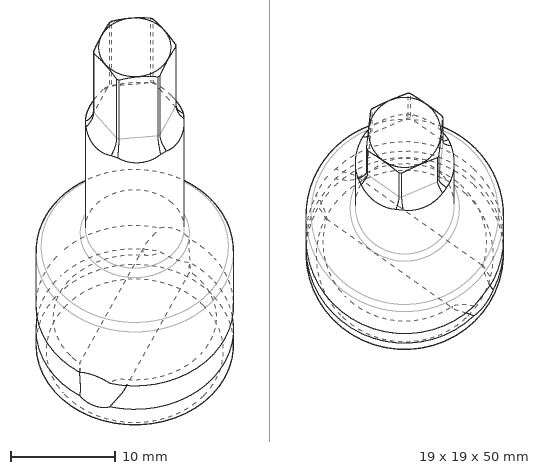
import cadquery as cq
import math

total_height = 50.0
body_radius = 9.5
base_chamfer = 1.0
shoulder_height = 16.9
shoulder_angle = 30.0
shoulder_fillet = 1.0

shank_radius = 4.75
cone_rise = (body_radius - shank_radius) * math.tan(math.radians(shoulder_angle))
shank_start = shoulder_height + cone_rise

groove_height = 5.5
groove_radius = 1.95
groove_depth = 1.65
pin_hole_diameter = 5.0

hex_sides = 6
across_flats = 7.0
across_corners = 7.95
hex_start = 40.0
runout_radius = 3.0
tip_face_diameter = 6.95
tip_chamfer_angle = 30.0

cut_limit = 2 * shank_radius


def make_turned_body():
    """Drive body, cone and shank as one revolved solid with rounded shoulders."""
    profile = (
        cq.Workplane("XZ")
        .lineTo(body_radius - base_chamfer, 0)
        .lineTo(body_radius, base_chamfer)
        .lineTo(body_radius, shoulder_height)
        .lineTo(shank_radius, shank_start)
        .lineTo(shank_radius, total_height)
        .lineTo(0, total_height)
        .close()
    )
    body = profile.revolve(360, (0, 0, 0), (0, 1, 0))
    at_shoulder = cq.selectors.BoxSelector(
        (-body_radius, -body_radius, groove_height),
        (body_radius, body_radius, hex_start),
    )
    return body.edges(at_shoulder).edges("%CIRCLE").fillet(shoulder_fillet)


def make_groove():
    """Ring of circular section around the drive body."""
    section_center = body_radius - groove_depth + groove_radius
    section = cq.Workplane("XZ").center(section_center, groove_height).circle(groove_radius)
    return section.revolve(360, (-section_center, 0, 0), (-section_center, 1, 0))


def make_pin_hole():
    """Round hole along Y through the whole body."""
    section = cq.Workplane("XZ").center(0, groove_height).circle(pin_hole_diameter / 2)
    return section.extrude(body_radius, both=True)


def tip_cut_profile(inner_distance):
    """Section outside the tip, running out below in a quarter arc."""
    arc_center = inner_distance + runout_radius
    arc_offset = runout_radius * math.sqrt(0.5)
    return (
        cq.Workplane("XZ")
        .moveTo(inner_distance, total_height)
        .lineTo(inner_distance, hex_start)
        .threePointArc(
            (arc_center - arc_offset, hex_start - arc_offset),
            (arc_center, hex_start - runout_radius),
        )
        .lineTo(cut_limit, hex_start - runout_radius)
        .lineTo(cut_limit, total_height)
        .close()
    )


def make_corner_cut():
    """Turned cut that blunts the hexagon corners."""
    return tip_cut_profile(across_corners / 2).revolve(360, (0, 0, 0), (0, 1, 0))


def make_tip_chamfer():
    """Conical cut around the end face."""
    face_radius = tip_face_diameter / 2
    drop = (cut_limit - face_radius) * math.tan(math.radians(tip_chamfer_angle))
    section = cq.Workplane("XZ").polyline([
        (face_radius, total_height),
        (cut_limit, total_height),
        (cut_limit, total_height - drop),
    ]).close()
    return section.revolve(360, (0, 0, 0), (0, 1, 0))


result = make_turned_body()
result = result.cut(make_groove())
result = result.cut(make_pin_hole())
result = result.cut(make_corner_cut())

flat_cut = tip_cut_profile(across_flats / 2).extrude(cut_limit, both=True)
for side in range(hex_sides):
    turn = side * 360 / hex_sides
    result = result.cut(flat_cut.rotate((0, 0, 0), (0, 0, 1), turn))

result = result.cut(make_tip_chamfer())